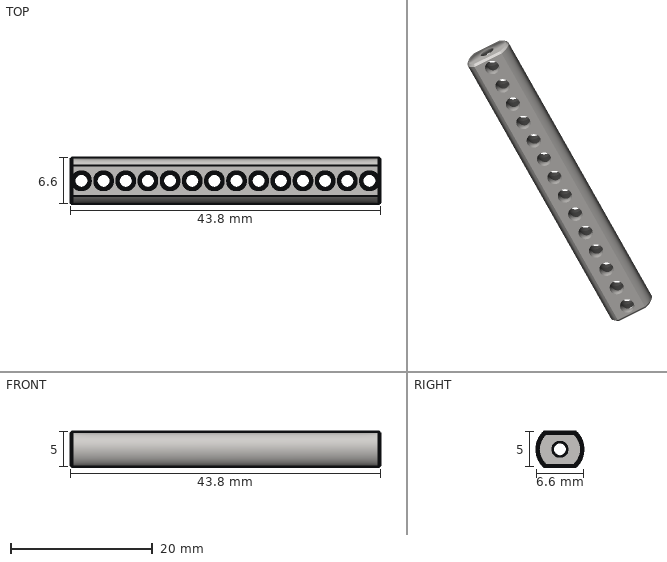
import cadquery as cq

LENGTH = 43.75
BODY_DIAMETER = 6.6
HEIGHT = 5.0
EDGE_CHAMFER = 0.3

HOLE_COUNT = 14
HOLE_DIAMETER = 2.0
HOLE_PITCH = LENGTH / HOLE_COUNT
COUNTERSINK_DIAMETER = HOLE_DIAMETER + 2 * EDGE_CHAMFER
COUNTERSINK_ANGLE = 90.0

BORE_DIAMETER = 2.0


def flattened_bar():
    """Round bar along X, centred on the origin, with flats on top and bottom and chamfered ends."""
    round_bar = cq.Workplane("YZ").circle(BODY_DIAMETER / 2).extrude(LENGTH / 2, both=True)
    flat_limits = cq.Workplane("XY").box(LENGTH, BODY_DIAMETER, HEIGHT)
    bar = round_bar.intersect(flat_limits)
    return bar.faces("<X or >X").chamfer(EDGE_CHAMFER)


def drill_cross_holes(bar):
    """Row of evenly pitched vertical through holes, countersunk in the top flat."""
    return (
        bar.copyWorkplane(cq.Workplane("XY", origin=(0, 0, HEIGHT / 2)))
        .rarray(HOLE_PITCH, 0.45, HOLE_COUNT, 1)
        .cskHole(HOLE_DIAMETER, COUNTERSINK_DIAMETER, COUNTERSINK_ANGLE)
    )


def drill_axial_bore(bar):
    """Bore along the bar axis, open at both ends."""
    bore = cq.Workplane("YZ").circle(BORE_DIAMETER / 2).extrude(LENGTH / 2, both=True)
    return bar.cut(bore)


result = drill_axial_bore(drill_cross_holes(flattened_bar()))